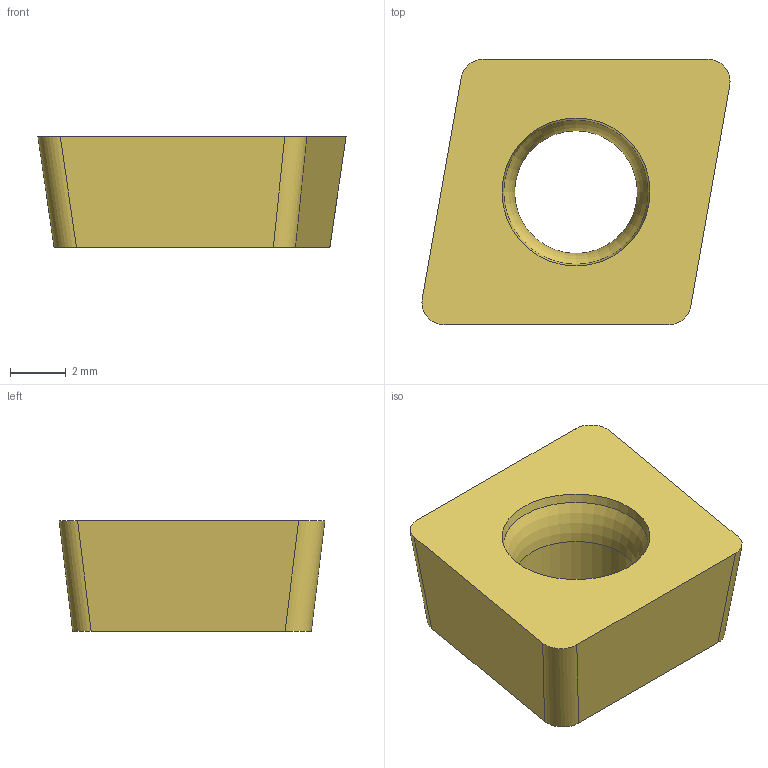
import cadquery as cq
import math

inscribed_circle = 9.52
thickness = 3.97
rhombus_angle = 80.0
relief_angle = 7.0
nose_radius = 0.8

bore_radius = 2.2
rim_radius = 2.65
flare_radius_top = 2.59
rim_depth = 0.32
flare_depth = 1.76


def rounded_rhombus(plane_z, inscribed_diameter):
    """Wire of a rhombus with rounded corners, two of its sides parallel to X."""
    side = inscribed_diameter / math.sin(math.radians(rhombus_angle))
    half_lean = side * math.cos(math.radians(rhombus_angle)) / 2
    half_side = side / 2
    half_height = inscribed_diameter / 2
    corners = [
        (-half_side - half_lean, -half_height),
        (half_side - half_lean, -half_height),
        (half_side + half_lean, half_height),
        (-half_side + half_lean, half_height),
    ]
    sharp = cq.Workplane("XY").workplane(offset=plane_z).polyline(corners).close().val()
    return sharp.fillet2D(nose_radius, sharp.Vertices())


def make_body():
    """Relieved body: every side leans inward toward the smaller bottom face."""
    inset = thickness * math.tan(math.radians(relief_angle))
    bottom = rounded_rhombus(0, inscribed_circle - 2 * inset)
    top = rounded_rhombus(thickness, inscribed_circle)
    return cq.Workplane(cq.Solid.makeLoft([bottom, top], True))


def make_screw_hole():
    """Revolved cutter whose flare is an arc tangent to the bore wall."""
    rim_z = thickness - rim_depth
    bore_z = thickness - flare_depth
    profile = (
        cq.Workplane("XZ")
        .lineTo(bore_radius, 0)
        .lineTo(bore_radius, bore_z)
        .tangentArcPoint((flare_radius_top, rim_z), relative=False)
        .lineTo(rim_radius, thickness)
        .lineTo(0, thickness)
        .close()
    )
    return profile.revolve()


result = make_body().cut(make_screw_hole())